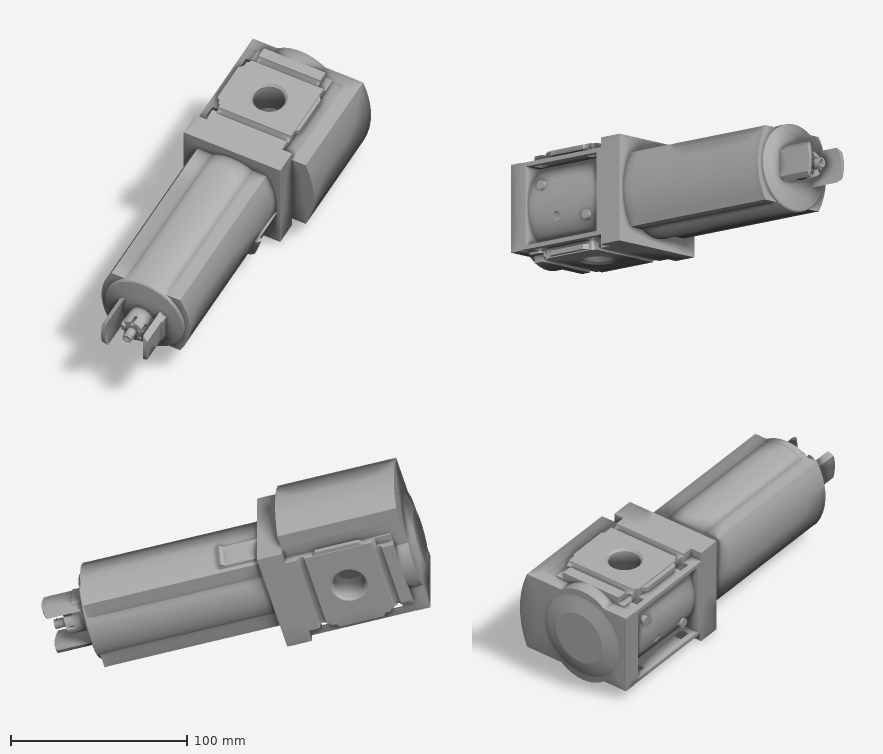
import cadquery as cq
import math


head_width = 62.0
half = head_width / 2
collar_length = 14.5
core_top = 77.0
cover_top = 84.6
cover_half_height = 25.5
cover_step = 0.2
cover_side_x = 39.8
cover_bulge_x = 44.8
core_min_x = -23.7
core_max_x = 24.5

cap_top = 87.7
cap_base_radius = 26.5
cap_flat_radius = 16.5
crest_half_width = 15.2

groove_radius = 2.5
groove_ys = (68.0, 23.5)
corner_x = 19.8
corner_end_y = 67.5
corner_z = 26.8
port_diameter = 18.7
port_rim_diameter = 21.3
port_depth = 19.8
port_y = 45.5
pad_tip_x = 26.4
pad_bevel = 2.2
pad_half_length = 15.0
pad_bottom_z = 27.5
pad_top_z = 30.3

window_min_y = 17.8
window_max_y = 73.2
window_half_height = 22.9
window_floor_x = -19.8
barrel_radius = 29.2
barrel_half_height = 20.9
slot_min_x = -27.5
slot_spans = ((63.0, 69.7), (21.5, 28.8))
notch_depth = 1.5
notch_taper = 1.0
stud_diameter = 5.5
stud_end_x = -29.5
studs = ((63.3, 11.0), (28.4, -11.0))
spot_place = (51.7, -8.5)
spot_x = -27.3

tube_radius = 25.0
guard_half_height = 21.5
guard_corner_x = 22.0
guard_half_width = 28.1
guard_straight = 102.5
guard_flare = 2.9
flare_angle = 3.0
guard_length = guard_straight + guard_flare
rim_radius = 25.3
rim_end = 107.3
rim_chamfer = 0.7
dome_radius = 101.1
dome_flat_radius = 10.3

latch_top_z = -6.5
latch_bottom_z = -19.5
latch_nub_start = 20.5
latch_top_x = 29.0
latch_bottom_x = 24.8
latch_root_top_x = 26.4
latch_root_bottom_x = 22.0
latch_end = 25.0
nub_height = 2.0

fin_inner_x = 11.2
fin_outer_x = 14.5
fin_inner_half = 10.1
fin_outer_half = 7.7
fin_hollow = 1.0
ledge_thickness = 0.7
ledge_end = 113.9
fin_corner_y = 129.7
fin_end = 219.8 - cap_top

drain_radius = 7.5
drain_end = 121.8
drain_chamfer = 0.5
drain_slot_count = 6
drain_slot_width = 2.0
drain_slot_start = 116.5
drain_slot_radius = 4.95
nipple_radius = 2.75
nipple_bore = 3.7
nipple_end = 128.4
barb_radius = 3.0
barb_y = 126.5
barb_length = 0.5


def box(x0, x1, y0, y1, z0, z1):
    """Axis-aligned box between the given limits."""
    return cq.Workplane("XY").box(x1 - x0, y1 - y0, z1 - z0, centered=False).translate((x0, y0, z0))


def both_sides(shape):
    """The shape and its mirror image in the plane Z = 0."""
    return shape.union(shape.mirror("XY"))


def y_cylinder(radius, start, end):
    """Cylinder on the bowl axis from Y = -start to Y = -end."""
    return cq.Workplane("XZ").workplane(offset=start).circle(radius).extrude(end - start)


def x_cylinder(diameter, y, z, x0, x1):
    return cq.Workplane("YZ", origin=(x0, 0, 0)).center(y, z).circle(diameter / 2).extrude(x1 - x0)


def make_cover():
    outline = (
        cq.Workplane("XZ", origin=(0, cover_top, 0))
        .moveTo(-half, -cover_half_height)
        .lineTo(cover_side_x, -cover_half_height)
        .threePointArc((cover_bulge_x, 0), (cover_side_x, cover_half_height))
        .lineTo(-half, cover_half_height)
        .close()
    )
    cover = outline.extrude(cover_top - collar_length)
    shoulder = box(-half, half, collar_length, core_top, cover_half_height - cover_step, half)
    return cover.cut(both_sides(shoulder))


def make_crest():
    """Rounded crests above and below the cover at its +Y end."""
    crest = (
        cq.Workplane("XZ", origin=(0, cover_top, 0))
        .moveTo(-crest_half_width, 0)
        .lineTo(-crest_half_width, cover_half_height)
        .threePointArc((0, half), (crest_half_width, cover_half_height))
        .lineTo(crest_half_width, 0)
        .close()
        .extrude(cover_top - core_top)
    )
    return both_sides(crest)


def make_cap():
    return (
        cq.Workplane("XY")
        .moveTo(0, core_top)
        .lineTo(cap_base_radius, core_top)
        .lineTo(cap_base_radius, cover_top)
        .lineTo(cap_flat_radius, cap_top)
        .lineTo(0, cap_top)
        .close()
        .revolve(360, (0, 0, 0), (0, 1, 0))
    )


def make_core():
    core = box(core_min_x, core_max_x, collar_length, core_top, -half, half)
    for x0, x1 in ((core_min_x, -corner_x), (corner_x, core_max_x)):
        core = core.cut(both_sides(box(x0, x1, corner_end_y, core_top, corner_z, half)))
    for y in groove_ys:
        groove = x_cylinder(2 * groove_radius, y, half, core_min_x, core_max_x)
        core = core.cut(both_sides(groove))
    return core


def make_pad(side_x, direction):
    """Bevelled pads on one X side of the core, above and below; direction is 1 for +X, -1 for -X."""
    tip_x = direction * pad_tip_x
    pad = (
        cq.Workplane("XY", origin=(0, port_y, pad_bottom_z))
        .moveTo(side_x, -pad_half_length)
        .lineTo(tip_x, -pad_half_length + pad_bevel)
        .lineTo(tip_x, pad_half_length - pad_bevel)
        .lineTo(side_x, pad_half_length)
        .close()
        .extrude(pad_top_z - pad_bottom_z)
    )
    return both_sides(pad)


def make_window():
    """Space of the window, round the barrel inside it."""
    opening = box(-half, window_floor_x, window_min_y, window_max_y, -window_half_height, window_half_height)
    barrel = (
        cq.Workplane("XZ", origin=(0, window_max_y, 0))
        .circle(barrel_radius)
        .extrude(window_max_y - window_min_y)
    )
    barrel = barrel.intersect(
        box(-half, half, window_min_y, window_max_y, -barrel_half_height, barrel_half_height)
    )
    return opening.cut(barrel)


def make_slot(y0, y1):
    """Slots through both window walls, with a tapered bite into the core."""
    bite_x = core_min_x + notch_depth
    slot = (
        cq.Workplane("XY", origin=(0, 0, window_half_height))
        .moveTo(slot_min_x, y0)
        .lineTo(core_min_x, y0)
        .lineTo(bite_x, y0 + notch_taper)
        .lineTo(bite_x, y1 - notch_taper)
        .lineTo(core_min_x, y1)
        .lineTo(slot_min_x, y1)
        .close()
        .extrude(half - window_half_height)
    )
    return both_sides(slot)


def make_port():
    rim_depth = (port_rim_diameter - port_diameter) / 2
    port = (
        cq.Workplane("XY", origin=(0, port_y, half - port_depth))
        .circle(port_diameter / 2)
        .extrude(port_depth)
    )
    rim = cq.Workplane("XY").add(
        cq.Solid.makeCone(
            port_diameter / 2, port_rim_diameter / 2, rim_depth, cq.Vector(0, port_y, half - rim_depth)
        )
    )
    return both_sides(port.union(rim))


def make_head():
    head = box(-half, half, 0, collar_length, -half, half)
    head = head.union(make_cover()).union(make_crest()).union(make_cap()).union(make_core())
    head = head.union(make_pad(core_min_x, -1)).union(make_pad(core_max_x, 1))
    head = head.cut(make_window()).cut(make_port())
    for y0, y1 in slot_spans:
        head = head.cut(make_slot(y0, y1))
    for y, z in studs:
        head = head.union(x_cylinder(stud_diameter, y, z, stud_end_x, window_floor_x))
    spot_y, spot_z = spot_place
    head = head.union(x_cylinder(stud_diameter, spot_y, spot_z, spot_x, window_floor_x))
    return head.cut(x_cylinder(stud_diameter, spot_y, spot_z, -half, spot_x))


def guard_outline(plane):
    """Guard section: flats above and below, bulged sides and a round crest on each flat."""
    crest_x = math.sqrt(tube_radius**2 - guard_half_height**2)
    return (
        plane.moveTo(guard_corner_x, -guard_half_height)
        .threePointArc((guard_half_width, 0), (guard_corner_x, guard_half_height))
        .lineTo(crest_x, guard_half_height)
        .threePointArc((0, tube_radius), (-crest_x, guard_half_height))
        .lineTo(-guard_corner_x, guard_half_height)
        .threePointArc((-guard_half_width, 0), (-guard_corner_x, -guard_half_height))
        .lineTo(-crest_x, -guard_half_height)
        .threePointArc((0, -tube_radius), (crest_x, -guard_half_height))
        .close()
    )


def make_guard():
    straight = guard_outline(cq.Workplane("XZ")).extrude(guard_straight)
    end_plane = cq.Workplane("XZ").workplane(offset=guard_straight)
    return straight.union(guard_outline(end_plane).extrude(guard_flare, taper=-flare_angle))


def make_dome():
    """Rim and domed end of the bowl, with a flat round the drain."""
    def sag(radius):
        return dome_radius - math.sqrt(dome_radius**2 - radius**2)

    edge_radius = rim_radius - rim_chamfer
    apex_y = -rim_end - sag(edge_radius)
    flat_y = apex_y + sag(dome_flat_radius)
    mid_radius = (edge_radius + dome_flat_radius) / 2
    mid_y = apex_y + sag(mid_radius)
    return (
        cq.Workplane("XY")
        .moveTo(0, -guard_straight)
        .lineTo(rim_radius, -guard_straight)
        .lineTo(rim_radius, -rim_end + rim_chamfer)
        .lineTo(edge_radius, -rim_end)
        .threePointArc((mid_radius, mid_y), (dome_flat_radius, flat_y))
        .lineTo(0, flat_y)
        .close()
        .revolve(360, (0, 0, 0), (0, 1, 0))
    )


def make_latch():
    """Spring strip along the lower +X side of the guard, ending in a pointed nub."""
    strip = (
        cq.Workplane("XZ")
        .moveTo(latch_root_top_x, latch_top_z)
        .lineTo(latch_top_x, latch_top_z)
        .lineTo(latch_bottom_x, latch_bottom_z)
        .lineTo(latch_root_bottom_x, latch_bottom_z)
        .close()
        .extrude(latch_end)
    )
    run_x = latch_bottom_x - latch_top_x
    run_z = latch_bottom_z - latch_top_z
    outer_face = cq.Plane(
        origin=(latch_top_x, 0, latch_top_z), xDir=(-run_z, 0, run_x), normal=(run_x, 0, run_z)
    )
    nub = (
        cq.Workplane(outer_face)
        .moveTo(0, latch_nub_start)
        .lineTo(nub_height, (latch_nub_start + latch_end) / 2)
        .lineTo(0, latch_end)
        .close()
        .extrude(math.hypot(run_x, run_z))
    )
    return strip.union(nub)


def make_fin():
    """Grip fin on the +X side, hollowed on its inner face and rounded at its end."""
    start = guard_length
    section = (
        cq.Workplane("XZ")
        .workplane(offset=start)
        .moveTo(fin_inner_x, -fin_inner_half)
        .lineTo(fin_outer_x, -fin_outer_half)
        .lineTo(fin_outer_x, fin_outer_half)
        .lineTo(fin_inner_x, fin_inner_half)
        .threePointArc((fin_inner_x + fin_hollow, 0), (fin_inner_x, -fin_inner_half))
        .close()
        .extrude(fin_end - start)
    )
    side = (
        cq.Workplane("YZ")
        .moveTo(-start, -fin_inner_half)
        .lineTo(-fin_corner_y, -fin_inner_half)
        .threePointArc((-fin_end, 0), (-fin_corner_y, fin_inner_half))
        .lineTo(-start, fin_inner_half)
        .close()
        .extrude(half)
    )
    return section.intersect(side)


def make_drain():
    drain = y_cylinder(drain_radius, guard_length, drain_end).faces("<Y").chamfer(drain_chamfer)
    slot = box(0, drain_radius, -drain_end, -drain_slot_start, -drain_slot_width / 2, drain_slot_width / 2)
    slot = slot.cut(y_cylinder(drain_slot_radius, drain_slot_start, drain_end))
    pitch = 360 / drain_slot_count
    for i in range(drain_slot_count):
        drain = drain.cut(slot.rotate((0, 0, 0), (0, 1, 0), pitch * (i + 0.5)))
    drain = drain.union(y_cylinder(nipple_radius, guard_length, nipple_end))
    drain = drain.union(y_cylinder(barb_radius, barb_y, barb_y + barb_length))
    return drain.cut(y_cylinder(nipple_bore / 2, drain_end, nipple_end))


def make_bowl():
    fin = make_fin()
    bowl = make_guard().union(make_dome()).union(make_latch())
    ledge = box(
        fin_inner_x + fin_hollow,
        fin_outer_x + ledge_thickness,
        -ledge_end,
        -guard_length,
        -fin_outer_half,
        fin_outer_half,
    )
    bowl = bowl.union(fin).union(fin.mirror("YZ")).union(ledge)
    return bowl.union(make_drain())


head = make_head()
bowl = make_bowl()

result = cq.Compound.makeCompound([head.val(), bowl.val()])